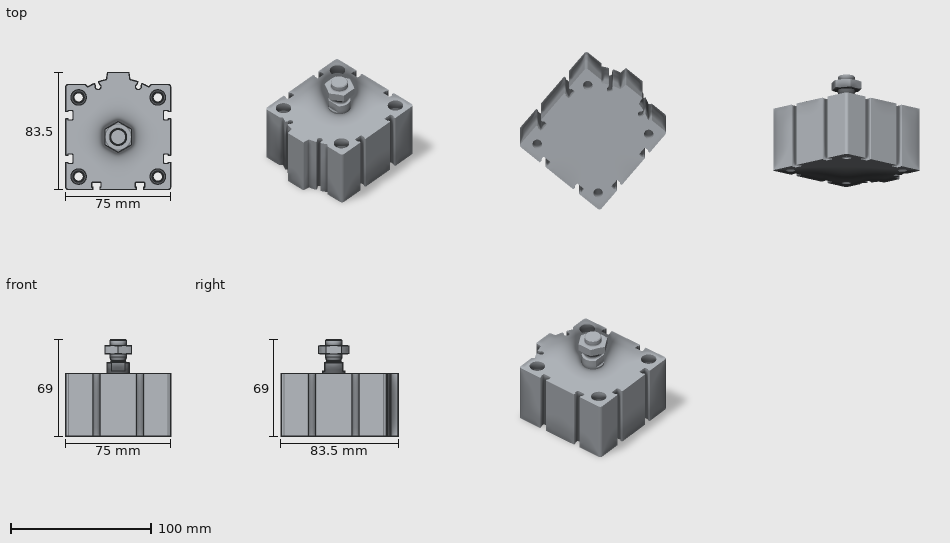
import cadquery as cq
import math

housing_side = 75.0
half_side = housing_side / 2
housing_height = 45.0
corner_radius = 2.0

overall_depth = 83.5
tab_top_y = overall_depth - half_side
tab_top_half_width = 7.7
tab_base_half_width = 8.4
tab_edge_radius = 0.5
dome_radius = 41.8
notch_outer_x = 23.5

keyhole_angle = 21.8
keyhole_center_radius = 38.7
keyhole_diameter = 4.0
keyhole_mouth_width = 3.0
keyhole_lip_radius = 0.25

slot_offset = 15.5
slot_mouth_width = 5.0
slot_lip_depth = 1.8
slot_inner_width = 6.5
slot_depth = 5.1
slot_edge_radius = 0.3

hole_offset = 28.2
hole_diameter = 6.7
counterbore_diameter = 11.0
counterbore_depth = 7.0
countersink_diameter = 8.0

rod_diameter = 16.0
thread_diameter = 12.0
thread_tip_diameter = 10.7
neck_diameter = 10.2
rod_length = 24.0
shoulder_height = 7.8
shoulder_chamfer = 0.3
neck_bottom_height = 8.4
neck_top_height = 9.0
thread_bottom_height = 11.5
flat_bottom_height = 1.5
flats_width = 13.0

nut_across_flats = 19.0
nut_height = 6.0
nut_bottom_height = 13.8
nut_face_diameter = 18.7
nut_corner_drop = 0.4


def make_block():
    """Square block whose +Y side is a dome with a tapered tab on top."""
    notch_difference = half_side - notch_outer_x
    notch_sum = math.sqrt(2 * dome_radius**2 - notch_difference**2)
    notch_x = (notch_sum - notch_difference) / 2
    notch_y = (notch_sum + notch_difference) / 2

    tab_base_y = math.sqrt(dome_radius**2 - tab_base_half_width**2)
    arc_angle = (math.asin(notch_x / dome_radius) + math.asin(tab_base_half_width / dome_radius)) / 2
    arc_x = dome_radius * math.sin(arc_angle)
    arc_y = dome_radius * math.cos(arc_angle)

    outline = (
        cq.Workplane("XY")
        .moveTo(-half_side, -half_side)
        .lineTo(half_side, -half_side)
        .lineTo(half_side, half_side)
        .lineTo(notch_outer_x, half_side)
        .lineTo(notch_x, notch_y)
        .threePointArc((arc_x, arc_y), (tab_base_half_width, tab_base_y))
        .lineTo(tab_top_half_width, tab_top_y)
        .lineTo(-tab_top_half_width, tab_top_y)
        .lineTo(-tab_base_half_width, tab_base_y)
        .threePointArc((-arc_x, arc_y), (-notch_x, notch_y))
        .lineTo(-notch_outer_x, half_side)
        .lineTo(-half_side, half_side)
        .close()
    )
    return outline.extrude(housing_height)


def round_upright_edges(body, positions, radius):
    """Fillet the full-height edges of the body that stand at the given (x, y) positions."""
    picked = cq.Workplane("XY").newObject([body.val()])
    near_points = [cq.Vector(x, y, housing_height / 2) for x, y in positions]
    tolerance = 0.01

    def stands_at_position(edge):
        return any((edge.Center() - point).Length < tolerance for point in near_points)

    return picked.edges("|Z").filter(stands_at_position).fillet(radius)


def turned(x, y, angle):
    """The point (x, y) turned about the Z axis by an angle in degrees."""
    cosine = math.cos(math.radians(angle))
    sine = math.sin(math.radians(angle))
    return x * cosine - y * sine, x * sine + y * cosine


def make_t_slot():
    """Full-height cutter for one T slot in the -Y face."""
    lip_y = slot_lip_depth - half_side
    mouth = (
        cq.Workplane("XY")
        .center(slot_offset, -half_side)
        .rect(slot_mouth_width, 2 * slot_lip_depth)
        .extrude(housing_height)
    )
    inner_length = slot_depth - slot_lip_depth
    inner = (
        cq.Workplane("XY")
        .center(slot_offset, lip_y + inner_length / 2)
        .rect(slot_inner_width, inner_length)
        .extrude(housing_height)
        .edges("|Z and >Y")
        .fillet(slot_edge_radius)
    )
    return mouth.union(inner)


def cut_t_slots(body):
    """Two T slots in each of the -Y, +X and -X faces, with rounded lips."""
    slot = make_t_slot()
    lip_positions = []
    for angle in (0, 90, -90):
        for side in (1, -1):
            cutter = slot if side == 1 else slot.mirror("YZ")
            body = body.cut(cutter.rotate((0, 0, 0), (0, 0, 1), angle))
            for lip_side in (1, -1):
                lip_x = side * slot_offset + lip_side * slot_mouth_width / 2
                lip_positions.append(turned(lip_x, -half_side, angle))
                lip_positions.append(turned(lip_x, slot_lip_depth - half_side, angle))
    return round_upright_edges(body, lip_positions, slot_edge_radius)


def cut_keyhole_grooves(body):
    """Two full-height round grooves that open through the dome by a narrower mouth."""
    mouth_length = tab_top_y - keyhole_center_radius
    groove = (
        cq.Workplane("XY")
        .center(0, keyhole_center_radius)
        .circle(keyhole_diameter / 2)
        .extrude(housing_height)
    )
    mouth = (
        cq.Workplane("XY")
        .center(0, keyhole_center_radius + mouth_length / 2)
        .rect(keyhole_mouth_width, mouth_length)
        .extrude(housing_height)
    )
    keyhole = groove.union(mouth)
    half_mouth = keyhole_mouth_width / 2
    lip_y = math.sqrt(dome_radius**2 - half_mouth**2)
    lip_positions = []
    for angle in (keyhole_angle, -keyhole_angle):
        body = body.cut(keyhole.rotate((0, 0, 0), (0, 0, 1), angle))
        for lip_x in (half_mouth, -half_mouth):
            lip_positions.append(turned(lip_x, lip_y, angle))
    return round_upright_edges(body, lip_positions, keyhole_lip_radius)


def cut_mounting_holes(body):
    """Four counterbored through holes with a countersunk step."""
    countersink_depth = (countersink_diameter - hole_diameter) / 2
    step_z = housing_height - counterbore_depth
    hole = (
        cq.Workplane("XZ")
        .lineTo(hole_diameter / 2, 0)
        .lineTo(hole_diameter / 2, step_z - countersink_depth)
        .lineTo(countersink_diameter / 2, step_z)
        .lineTo(counterbore_diameter / 2, step_z)
        .lineTo(counterbore_diameter / 2, housing_height)
        .lineTo(0, housing_height)
        .close()
        .revolve(360, (0, 0, 0), (0, 1, 0))
    )
    for x in (-hole_offset, hole_offset):
        for y in (-hole_offset, hole_offset):
            body = body.cut(hole.translate((x, y, 0)))
    return body


def make_housing():
    """Cylinder housing, standing on Z = 0 and centred on the rod axis."""
    body = make_block()
    corners = [(x, y) for x in (-half_side, half_side) for y in (-half_side, half_side)]
    body = round_upright_edges(body, corners, corner_radius)
    tab_corners = [(-tab_top_half_width, tab_top_y), (tab_top_half_width, tab_top_y)]
    body = round_upright_edges(body, tab_corners, tab_edge_radius)
    body = cut_t_slots(body)
    body = cut_keyhole_grooves(body)
    return cut_mounting_holes(body)


def make_rod():
    """Turned rod on the housing top: shoulder, undercut neck and thread, with two wrench flats."""
    rod_radius = rod_diameter / 2
    thread_radius = thread_diameter / 2
    neck_radius = neck_diameter / 2
    tip_radius = thread_tip_diameter / 2
    tip_chamfer = thread_radius - tip_radius
    flare_radius = neck_radius + neck_bottom_height - shoulder_height
    rod = (
        cq.Workplane("XZ")
        .lineTo(rod_radius, 0)
        .lineTo(rod_radius, shoulder_height - shoulder_chamfer)
        .lineTo(rod_radius - shoulder_chamfer, shoulder_height)
        .lineTo(flare_radius, shoulder_height)
        .lineTo(neck_radius, neck_bottom_height)
        .lineTo(neck_radius, neck_top_height)
        .lineTo(thread_radius, thread_bottom_height)
        .lineTo(thread_radius, rod_length - tip_chamfer)
        .lineTo(tip_radius, rod_length)
        .lineTo(0, rod_length)
        .close()
        .revolve(360, (0, 0, 0), (0, 1, 0))
    )
    for side in (1, -1):
        flat_cutter = (
            cq.Workplane("XY", origin=(0, 0, flat_bottom_height))
            .center(0, side * (flats_width + rod_diameter) / 2)
            .rect(rod_diameter, rod_diameter)
            .extrude(shoulder_height - flat_bottom_height)
        )
        rod = rod.cut(flat_cutter)
    return rod.translate((0, 0, housing_height))


def make_nut():
    """Hexagon nut on the thread, corners towards +Y and -Y, both faces chamfered round."""
    across_corners = nut_across_flats / math.cos(math.pi / 6)
    hexagon = (
        cq.Workplane("XY")
        .polygon(6, across_corners)
        .extrude(nut_height)
        .rotate((0, 0, 0), (0, 0, 1), 90)
    )
    chamfer_width = (across_corners - nut_face_diameter) / 2
    corner_trim = (
        cq.Workplane("XY")
        .circle(across_corners / 2)
        .extrude(nut_height)
        .faces("<Z or >Z")
        .chamfer(nut_corner_drop, chamfer_width)
    )
    bore = cq.Workplane("XY").circle(thread_diameter / 2).extrude(nut_height)
    nut = hexagon.intersect(corner_trim).cut(bore)
    return nut.translate((0, 0, housing_height + nut_bottom_height))


housing = make_housing()
rod = make_rod()
nut = make_nut()
result = cq.Compound.makeCompound([housing.val(), rod.val(), nut.val()])